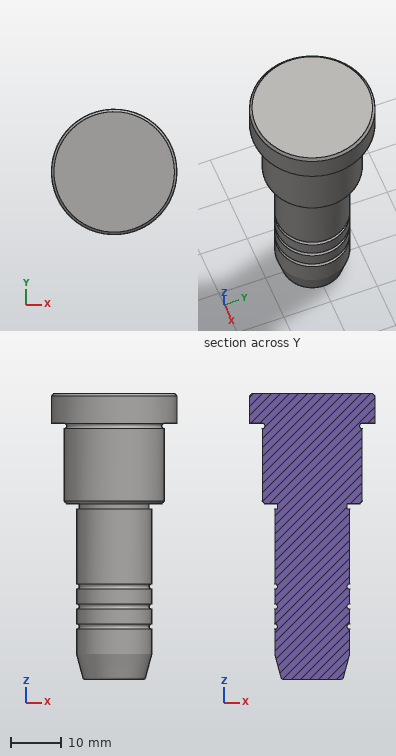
import cadquery as cq
import math

total_height = 57.0
head_radius = 25.0 / 2
head_height = 6.0
collar_radius = 20.0 / 2
collar_length = 16.0
shank_radius = 15.0 / 2
edge_chamfer = 0.5

groove_radius = 0.5
ring_groove_count = 3
ring_groove_pitch = 4.0
top_ring_groove_z = 18.5

undercut_radius = 13.95 / 2
undercut_height = 1.0

tip_height = 5.0
tip_taper_angle = 15.0
tip_radius = shank_radius - tip_height * math.tan(math.radians(tip_taper_angle))
tip_fillet = 0.5

head_bottom_z = total_height - head_height
collar_bottom_z = head_bottom_z - collar_length
shank_top_z = collar_bottom_z - undercut_height


def cylinder(radius, bottom_z, top_z):
    return cq.Workplane("XY").workplane(offset=bottom_z).circle(radius).extrude(top_z - bottom_z)


def groove_ring(radius, center_z):
    """Ring that cuts a half-round groove into a cylinder of the given radius."""
    return (
        cq.Workplane("XZ")
        .moveTo(radius, center_z - groove_radius)
        .threePointArc((radius - groove_radius, center_z), (radius, center_z + groove_radius))
        .close()
        .revolve(360, (0, 0, 0), (0, 1, 0))
    )


head = cylinder(head_radius, head_bottom_z, total_height).faces(">Z").chamfer(edge_chamfer)

collar = cylinder(collar_radius, collar_bottom_z, head_bottom_z).faces("<Z").chamfer(edge_chamfer)
collar = collar.cut(groove_ring(collar_radius, head_bottom_z - groove_radius))

undercut = cylinder(undercut_radius, shank_top_z, collar_bottom_z)

shank = cylinder(shank_radius, tip_height, shank_top_z)
for index in range(ring_groove_count):
    shank = shank.cut(groove_ring(shank_radius, top_ring_groove_z - index * ring_groove_pitch))

tip = (
    cq.Workplane("XY")
    .workplane(offset=tip_height)
    .circle(shank_radius)
    .workplane(offset=-tip_height)
    .circle(tip_radius)
    .loft(ruled=True)
    .faces("<Z")
    .fillet(tip_fillet)
)

result = head.union(collar).union(undercut).union(shank).union(tip)